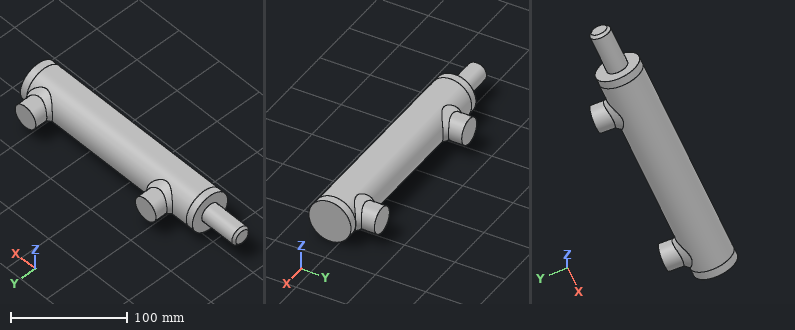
import cadquery as cq
import math

total_length = 255.0
barrel_diameter = 42.0
barrel_radius = barrel_diameter / 2

rod_diameter = 20.0
rod_tip_diameter = 15.0
rod_tip_length = 2.5
gland_start = 40.0
gland_length = 7.6
gland_end = gland_start + gland_length

cap_length = 8.2
cap_start = total_length - cap_length
cap_band_length = 3.0

port_diameter = 26.0
port_radius = port_diameter / 2
total_width = 59.0
port_height = total_width - barrel_radius
port_positions = [80.8, 230.8]

weld_rise = 3.8
weld_base_half_length = 32.0 / 2
weld_base_half_width = 16.8
weld_overrun = 0.1


def x_cylinder(start, end, diameter):
    """Solid cylinder on the X axis."""
    return cq.Workplane("YZ").workplane(offset=start).circle(diameter / 2).extrude(end - start)


def port_blank(x):
    """Solid cylinder from the barrel axis to the port face."""
    direction = cq.Vector(0, 1, 0)
    return cq.Workplane(cq.Solid.makeCylinder(port_radius, port_height, cq.Vector(x, 0, 0), direction))


def saddle_point(half_length, half_width, saddle_radius, angle):
    """Point of an oval seen along Y, laid on a cylinder around the X axis."""
    z = half_width * math.sin(angle)
    return cq.Vector(half_length * math.cos(angle), math.sqrt(saddle_radius**2 - z**2), z)


def closed_curve(x, point_at):
    """Closed edge around a port, traced by a function of the angle."""

    def point(turn):
        return (point_at(2 * math.pi * turn) + cq.Vector(x, 0, 0)).toTuple()

    return cq.Workplane("XY").parametricCurve(point, N=80, makeWire=False).val()


def weld_slope_point(share, angle):
    """Point at a share of the weld slope, 0 at the barrel and 1 at the port."""
    foot = saddle_point(weld_base_half_length, weld_base_half_width, barrel_radius, angle)
    top = saddle_point(port_radius, port_radius, barrel_radius + weld_rise, angle)
    return foot + (top - foot) * share


def weld_core_point(angle):
    """Point inside both port and barrel, where the untrimmed collar closes."""
    return saddle_point(port_radius / 2, port_radius / 2, port_radius, angle)


def make_rod():
    shaft = x_cylinder(0, gland_end, rod_diameter)
    tip_setback = (rod_diameter - rod_tip_diameter) / 2
    return shaft.faces("<X").chamfer(rod_tip_length, tip_setback)


def make_gland():
    rod_bore = x_cylinder(gland_start, gland_end, rod_diameter)
    return x_cylinder(gland_start, gland_end, barrel_diameter).cut(rod_bore)


def make_barrel():
    return x_cylinder(gland_end, cap_start, barrel_diameter)


def make_cap():
    """End cap whose rim is divided into two flush bands."""
    band_end = cap_start + cap_band_length
    band = x_cylinder(cap_start, band_end, barrel_diameter)
    return band.union(x_cylinder(band_end, total_length, barrel_diameter), clean=False)


def make_port(x):
    """Port with a saddle-shaped foot resting on the barrel."""
    return port_blank(x).cut(x_cylinder(0, total_length, barrel_diameter))


def make_weld(x):
    """Sloping collar between barrel and port, trimmed to both of them."""
    foot = closed_curve(x, lambda angle: weld_slope_point(-weld_overrun, angle))
    top = closed_curve(x, lambda angle: weld_slope_point(1 + weld_overrun, angle))
    core = closed_curve(x, weld_core_point)
    slope = cq.Face.makeRuledSurface(foot, top)
    underside = cq.Face.makeRuledSurface(core, foot)
    inside = cq.Face.makeRuledSurface(top, core)
    blank = cq.Workplane(cq.Solid.makeSolid(cq.Shell.makeShell([slope, underside, inside])))
    return blank.cut(port_blank(x)).cut(x_cylinder(0, total_length, barrel_diameter))


rod = make_rod()
gland = make_gland()
barrel = make_barrel()
cap = make_cap()
ports = [make_port(x) for x in port_positions]
welds = [make_weld(x) for x in port_positions]
side_solids = [solid for body in ports + welds for solid in body.solids().vals()]

result = cq.Compound.makeCompound([rod.val(), gland.val(), barrel.val(), cap.val(), *side_solids])